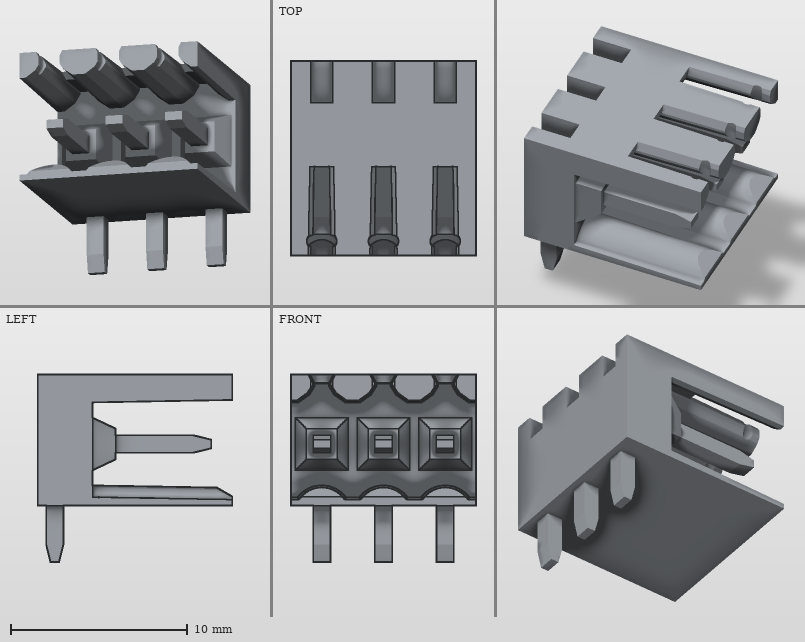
import cadquery as cq
import math


pin_count = 3
pitch = 3.5
pin_xs = [(i - (pin_count - 1) / 2) * pitch for i in range(pin_count)]

width = 10.5
length = 11.05
height = 7.45
overcut = 0.55

back_wall = 3.12
cavity_depth = length - back_wall
draft = 1.0
floor_thickness = 0.48
arm_thickness = 1.6

rib_half_width = 1.37
rib_top = 1.15
rib_end_angle = 30.0
rib_end_height = 0.51

recess_mouth_half = 1.34
recess_knee_half = 0.71
recess_knee_depth = 1.16
recess_top_half = 0.39
recess_shoulder_depth = 0.65
recess_roof_depth = 0.53

slot_length = 5.05
slot_top_half = 0.67
slot_draft_growth = (cavity_depth - slot_length) * math.tan(math.radians(draft))
slot_bottom_half = recess_top_half + slot_draft_growth
slot_shoulder_depth = 0.45
slot_bottom_depth = recess_roof_depth

notch_width = 1.71
notch_length = 0.66
notch_y = 0.82
mouth_width = 1.26

rear_notch_width = 1.26
rear_notch_length = 2.39
rear_notch_depth = arm_thickness

boss_base = 3.0
boss_tip = 1.76
boss_height = 1.3

pin_size = 1.0
pin_z = 3.49
pin_front_y = 1.19
pin_leg_y = length - 0.97
pin_drop = 3.2
point_length = 1.01
point_size = pin_size / 2


def cavity():
    """Drafted opening between the arms and the ribbed floor."""
    side = width / 2 + overcut
    roof_z = height - arm_thickness
    outline = cq.Workplane("XZ", origin=(0, cavity_depth, 0)).moveTo(-side, floor_thickness)
    for x in pin_xs:
        outline = outline.lineTo(x - rib_half_width, floor_thickness)
        outline = outline.threePointArc((x, rib_top), (x + rib_half_width, floor_thickness))
    outline = outline.lineTo(side, floor_thickness).lineTo(side, roof_z)
    recess_edge = [
        (recess_mouth_half, arm_thickness),
        (recess_knee_half, recess_knee_depth),
        (recess_top_half, recess_shoulder_depth),
        (recess_top_half, recess_roof_depth),
    ]
    for x in reversed(pin_xs):
        for half, depth in recess_edge:
            outline = outline.lineTo(x + half, height - depth)
        for half, depth in reversed(recess_edge):
            outline = outline.lineTo(x - half, height - depth)
    return outline.lineTo(-side, roof_z).close().extrude(cavity_depth, taper=-draft)


def top_slot(x):
    """Drafted slot, wider at the top, with a round-ended notch and a straight mouth."""
    flare = (slot_top_half - slot_bottom_half) / slot_shoulder_depth
    upper_half = slot_top_half + flare * overcut
    bottom_z = height - slot_bottom_depth
    shoulder_z = height - slot_shoulder_depth
    slot = (
        cq.Workplane("XZ", origin=(x, slot_length, 0))
        .polyline([
            (-slot_bottom_half, bottom_z),
            (slot_bottom_half, bottom_z),
            (slot_bottom_half, shoulder_z),
            (upper_half, height + overcut),
            (-upper_half, height + overcut),
            (-slot_bottom_half, shoulder_z),
        ])
        .close()
        .extrude(slot_length, taper=-draft)
    )
    top_plane = cq.Workplane("XY", origin=(x, 0, height))
    notch = top_plane.center(0, notch_y).slot2D(notch_width, notch_length).extrude(-arm_thickness)
    mouth = top_plane.center(0, notch_y / 2).rect(mouth_width, notch_y).extrude(-arm_thickness)
    return slot.union(notch).union(mouth)


def rear_notch(x):
    return cq.Workplane("XY").box(
        rear_notch_width, rear_notch_length, rear_notch_depth, centered=(True, False, False)
    ).translate((x, length - rear_notch_length, height - rear_notch_depth))


def rib_end_slope():
    """Wedge over the floor that bevels the front ends of the ribs."""
    wedge_height = height / 2 - rib_end_height
    wedge_length = wedge_height / math.tan(math.radians(rib_end_angle))
    return (
        cq.Workplane("YZ")
        .polyline([
            (0, rib_end_height),
            (wedge_length, rib_end_height + wedge_height),
            (0, rib_end_height + wedge_height),
        ])
        .close()
        .extrude(width / 2, both=True)
    )


def boss(x):
    return (
        cq.Workplane("XZ", origin=(x, cavity_depth, pin_z))
        .rect(boss_base, boss_base)
        .workplane(offset=boss_height)
        .rect(boss_tip, boss_tip)
        .loft(ruled=True)
    )


def make_pin(x):
    """Square pin bent down at a right angle, pointed at both ends."""
    half = pin_size / 2
    point_half = point_size / 2
    bevel_y = pin_front_y + point_length
    bevel_z = point_length - pin_drop
    return (
        cq.Workplane("YZ", origin=(x, 0, 0))
        .polyline([
            (pin_front_y, pin_z - point_half),
            (bevel_y, pin_z - half),
            (pin_leg_y - half, pin_z - half),
            (pin_leg_y - half, bevel_z),
            (pin_leg_y - point_half, -pin_drop),
            (pin_leg_y + point_half, -pin_drop),
            (pin_leg_y + half, bevel_z),
            (pin_leg_y + half, pin_z + half),
            (bevel_y, pin_z + half),
            (pin_front_y, pin_z + point_half),
        ])
        .close()
        .extrude(half, both=True)
    )


def make_housing(pins):
    """Housing with a matching hole for every pin."""
    block = cq.Workplane("XY").box(width, length, height, centered=(True, False, False))
    body = block.cut(cavity()).cut(rib_end_slope())
    for x in pin_xs:
        body = body.cut(top_slot(x)).cut(rear_notch(x)).union(boss(x))
    for pin in pins:
        body = body.cut(pin)
    return body


pins = [make_pin(x) for x in pin_xs]
housing = make_housing(pins)

result = cq.Compound.makeCompound([housing.val(), *[pin.val() for pin in pins]])